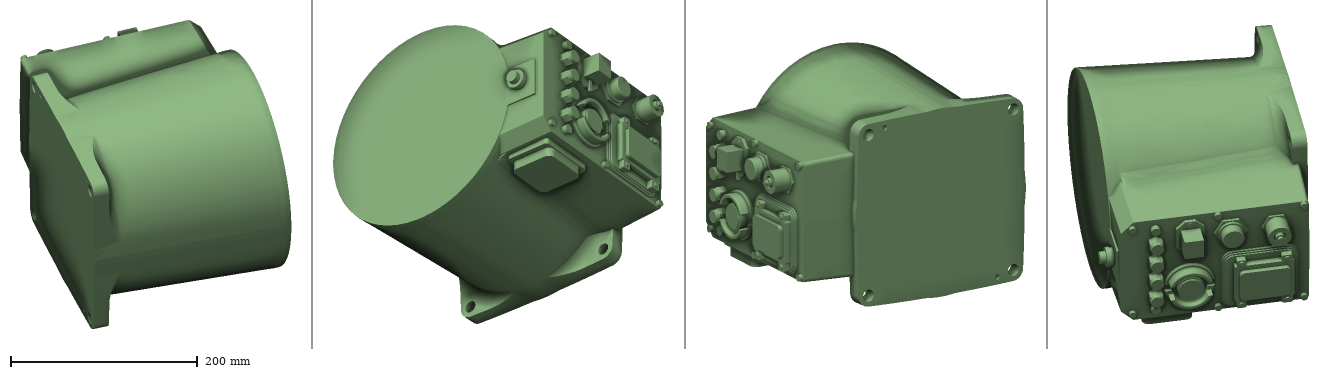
import cadquery as cq
import math

HOUSING_LENGTH = 218.5
HOUSING_RADIUS = 119.53
RIM_START = 212.0
TAPER_END = 204.0
TAPER_END_RADIUS = 118.8
FOOT_RADIUS = 105.8
SEAM_STRIP = 8.0

PLATE_THICKNESS = 17.0
PLATE_CORNER_HALF = 101.9
PLATE_MIDDLE_HALF = 104.6
PLATE_DRAFT_ANGLE = 1.5
PLATE_CORNER_RADIUS = 13.0
MOUNT_HOLE_OFFSET = 90.3
MOUNT_HOLE_DIAMETER = 13.5
DOWEL_HOLE_X = 70.0
DOWEL_HOLE_Z = 95.0
DOWEL_HOLE_DIAMETER = 6.0
DOWEL_HOLE_DEPTH = 12.0
FLARE_TOP = 28.5
FLARE_RADIUS = 123.0
FLARE_SAG = 2.5

BOX_FACE_X = -164.3
BOX_INNER_X = -60.0
BOX_ROOT_X = -103.0
BOX_FACE_BOTTOM = 11.0
BOX_FACE_TOP = 216.2
BOX_FACE_HALF_Z = 67.2
BOX_DRAFT = 2.4
BOX_CHAMFER = 13.7
BOX_PEAK = 1.0
BOX_EDGE_RADIUS = 4.0
ROOT_BLEND_RADIUS = 25.0

OUTLET_BLOCK_X = (-153.0, -100.0)
OUTLET_BLOCK_Y = (134.9, 189.8)
OUTLET_BLOCK_BOTTOM = -85.3
OUTLET_BLOCK_RADIUS = 7.5
OUTLET_FLANGE_X = (-154.5, -100.0)
OUTLET_FLANGE_Y = (127.6, 196.9)
OUTLET_FLANGE_BOTTOM = -74.5
OUTLET_FLANGE_RADIUS = 4.0

REAR_PLUG_X = -134.8
REAR_PAD_WIDTH = 40.0
REAR_PAD_LENGTH = 45.0
REAR_PAD_TOP = 218.9
REAR_COLLAR_DIAMETER = 19.5
REAR_COLLAR_TOP = 223.0
REAR_FLANGE_DIAMETER = 21.8
REAR_FLANGE_TOP = 227.3
REAR_TIP_DIAMETER = 13.5
REAR_TIP_TOP = 234.0

SCREW_DIAMETER = 7.6
SCREW_HEIGHT = 4.3
SCREW_INNER_COLUMNS = (16.3, 110.3)
SCREW_INNER_Z = (63.4, -62.4)
SCREW_OUTER_Y = 203.8
SCREW_OUTER_Z = (58.6, -57.6)

LAMP_COLUMN_Y = 178.8
LAMP_COLUMN_MIDDLE_Z = 0.6
LAMP_COUNT = 4
LAMP_PITCH = 24.1
LAMP_FLATS = 14.2
LAMP_NUT_TOP = 10.0
LAMP_NUT_CHAMFER = 0.8
LAMP_TOP = 14.3
PLUG_SPACING = 108.2
PLUG_DIAMETER = 10.3
PLUG_HEIGHT = 6.2

SWITCH_Y = 140.9
SWITCH_Z = 40.3
SWITCH_PLATE_WIDTH = 30.6
SWITCH_PLATE_HEIGHT = 42.6
SWITCH_PLATE_CORNER = (9.6, 8.8)
SWITCH_PLATE_TOP = 4.0
SWITCH_BOX_WIDTH = 21.0
SWITCH_BOX_Z = (28.5, 51.3)
SWITCH_BOX_TOP = 25.0
SWITCH_SCREW_DIAMETER = 6.2
SWITCH_SCREW_OFFSET = 16.4
SWITCH_SCREW_TOP = 4.8
LEVER_WIDTH = 3.5
LEVER_TIP_Z = 14.8
LEVER_HEIGHTS = (3.2, 6.3)

ROUND_SOCKET_Y = 96.4
SOCKET_ROW_Z = 39.9
ROUND_SOCKET_FLATS = 31.2
ROUND_SOCKET_NUT_TOP = 3.0
ROUND_SOCKET_COLLAR_DIAMETER = 28.0
ROUND_SOCKET_COLLAR_TOP = 6.0
ROUND_SOCKET_DIAMETER = 24.4
ROUND_SOCKET_CHAMFER = 1.0
ROUND_SOCKET_TOP = 16.6

BUTTON_Y = 46.6
BUTTON_FLATS = 27.2
BUTTON_NUT_TOP = 2.6
BUTTON_DIAMETER = 25.3
BUTTON_TOP = 21.7
BUTTON_RECESS_DIAMETER = 13.7
BUTTON_RECESS_DEPTH = 4.0
BUTTON_STEM_DIAMETER = 10.0
BUTTON_STEM_TOP = 24.5
BUTTON_TIP_DIAMETER = 6.0
BUTTON_TIP_TOP = 27.89

RING_Y = 141.7
RING_Z = -25.8
RING_OUTER_RADIUS = 24.9
RING_INNER_RADIUS = 20.0
RING_FOOT_RADIUS = 27.6
RING_FOOT_TOP = 4.0
RING_TOP = 14.8
RING_EDGE_RADIUS = 1.5
RING_FOOT_GAP = 9.0
RING_GAP = 18.0
DIAL_RADIUS = 14.6
DIAL_TOP = 10.0
DIAL_FACE_RADIUS = 13.2
DIAL_FACE_TOP = 12.0

WINDOW_Y = (23.4, 106.5)
WINDOW_Z = (-62.5, 11.3)
WINDOW_CORNER = 12.0
WINDOW_LEDGE_TOP = 2.4
WINDOW_INSET = 1.7
WINDOW_STEP_TOP = 4.0
WINDOW_FRAME_TOP = 5.5
LID_Y = (29.0, 94.0)
LID_BODY_Z = (-49.7, -1.5)
LID_EAR_Z = (-59.0, 6.2)
LID_EAR_SPANS = ((30.6, 42.6), (81.3, 91.6))
LID_CORNER = 2.0
LID_TOP = 12.5
LID_SCREW_Y = (36.6, 86.6)
LID_SCREW_Z = (-54.0, 2.2)
LID_SCREW_DIAMETER = 5.4
LID_SCREW_TOP = 14.4
LID_PANE_Y = (33.7, 89.0)
LID_PANE_Z = (-45.0, -7.6)
LID_PANE_CORNER = 5.0
LID_PANE_TOP = 17.5

OVERLAP = 1.0


def panel_plane(y, z, height=0.0):
    """Plane parallel to the panel face; local x is -Y, local y is +Z, normal points to -X."""
    return cq.Workplane(cq.Plane((BOX_FACE_X - height, y, z), (0, -1, 0), (-1, 0, 0)))


def panel_cylinder(y, z, diameter, top, base=0.0):
    """Cylinder standing on the panel between two heights above its face."""
    start = base - OVERLAP
    return panel_plane(y, z, start).circle(diameter / 2).extrude(top - start)


def panel_block(y_range, z_range, top, base=0.0, corner=0.0):
    """Rectangular block standing on the panel, with optional rounded corners."""
    width = y_range[1] - y_range[0]
    height = z_range[1] - z_range[0]
    start = base - OVERLAP
    middle = panel_plane(sum(y_range) / 2, sum(z_range) / 2, start)
    block = middle.rect(width, height).extrude(top - start)
    if corner:
        block = block.edges("|X").fillet(corner)
    return block


def hexagon(y, z, flats, top, points_up=False):
    """Hexagonal nut standing on the panel, its points along Y unless turned up."""
    turn = 90 if points_up else 0
    corners = flats / math.cos(math.pi / 6)
    nut = panel_plane(y, z, -OVERLAP).polygon(6, corners).extrude(top + OVERLAP)
    return nut.rotate((0, y, z), (1, y, z), turn)


def join(parts):
    joined = parts[0]
    for part in parts[1:]:
        joined = joined.union(part)
    return joined


def housing_outline(half):
    """Circle with a narrow flat on each of its four sides."""
    return cq.Sketch().circle(math.hypot(half, SEAM_STRIP / 2)).rect(2 * half, 2 * half, mode="i")


def housing_section(start, start_radius, end, end_radius):
    """Tapered round length; narrow flats on four sides carry the mould seams."""
    length = end - start
    sections = []
    for radius, offset in ((start_radius, 0), (end_radius, -length)):
        sections.append(housing_outline(radius).moved(cq.Location(cq.Vector(0, 0, offset))))
    return cq.Workplane("XZ", origin=(0, start, 0)).placeSketch(*sections).loft(ruled=True)


def taper_radius(y):
    """Housing radius at a height on its tapered length."""
    return FOOT_RADIUS + (TAPER_END_RADIUS - FOOT_RADIUS) * y / TAPER_END


def housing():
    body = housing_section(0, FOOT_RADIUS, TAPER_END, TAPER_END_RADIUS)
    body = body.union(housing_section(TAPER_END, TAPER_END_RADIUS, RIM_START, HOUSING_RADIUS))
    return body.union(housing_section(RIM_START, HOUSING_RADIUS, HOUSING_LENGTH, HOUSING_RADIUS))


def box_growth(x):
    """How far the drafted walls have spread from their place at the panel face."""
    return BOX_DRAFT * (x - BOX_FACE_X) / (BOX_ROOT_X - BOX_FACE_X)


def box_outline(x):
    """Section of the box: chamfered at the +Y corners and slightly peaked on the -Y side."""
    growth = box_growth(x)
    bottom = BOX_FACE_BOTTOM - growth
    top = min(BOX_FACE_TOP + growth, HOUSING_LENGTH)
    half = BOX_FACE_HALF_Z + growth
    plane = cq.Plane((x, 0, 0), (0, 1, 0), (1, 0, 0))
    return [plane.toWorldCoords(p) for p in (
        (bottom, -half), (top - BOX_CHAMFER, -half), (top, -half + BOX_CHAMFER),
        (top, half - BOX_CHAMFER), (top - BOX_CHAMFER, half), (bottom, half), (bottom - BOX_PEAK, 0),
    )]


def control_box():
    """Drafted box reaching into the housing, rounded along its two long -Y edges."""
    face = cq.Wire.makePolygon(box_outline(BOX_FACE_X), close=True)
    root = cq.Wire.makePolygon(box_outline(BOX_INNER_X), close=True)
    box = cq.Workplane(cq.Solid.makeLoft([face, root], True))
    for side in (-1, 1):
        corner_edge = cq.selectors.BoxSelector(
            (BOX_FACE_X + OVERLAP, 0, side * BOX_FACE_HALF_Z / 2),
            (BOX_INNER_X - OVERLAP, PLATE_THICKNESS, side * HOUSING_RADIUS),
        )
        box = box.edges(corner_edge).fillet(BOX_EDGE_RADIUS)
    return box


def root_blend(side):
    """Concave blend along the corner between the box wall on one Z side and the housing."""
    sections = []
    for y in (BOX_FACE_BOTTOM, BOX_FACE_TOP - BOX_CHAMFER):
        radius = taper_radius(y)
        reach = radius + ROOT_BLEND_RADIUS
        nominal_z = BOX_FACE_HALF_Z + BOX_DRAFT + ROOT_BLEND_RADIUS
        wall = BOX_FACE_HALF_Z + box_growth(-math.sqrt(reach ** 2 - nominal_z ** 2))
        centre_z = wall + ROOT_BLEND_RADIUS
        centre_x = -math.sqrt(reach ** 2 - centre_z ** 2)
        away = math.atan2(-centre_z, -centre_x)
        halfway = (away - math.pi / 2) / 2
        on_wall = (centre_x, wall)
        on_housing = (centre_x * radius / reach, centre_z * radius / reach)
        arc_middle = (
            centre_x + ROOT_BLEND_RADIUS * math.cos(halfway),
            centre_z + ROOT_BLEND_RADIUS * math.sin(halfway),
        )
        buried = (on_housing[0] + OVERLAP, wall - OVERLAP)
        points = [cq.Vector(x, y, side * z) for x, z in (on_wall, arc_middle, on_housing, buried)]
        lower_left = cq.Vector(centre_x, y, side * (wall - OVERLAP))
        sections.append(cq.Wire.assembleEdges([
            cq.Edge.makeThreePointArc(*points[:3]),
            cq.Edge.makeLine(points[2], points[3]),
            cq.Edge.makeLine(points[3], lower_left),
            cq.Edge.makeLine(lower_left, points[0]),
        ]))
    return cq.Workplane(cq.Solid.makeLoft(sections, True))


def plate_outline(growth):
    """Square with slightly bowed sides and rounded corners."""
    corner = PLATE_CORNER_HALF + growth
    middle = PLATE_MIDDLE_HALF + growth
    outline = (
        cq.Sketch()
        .arc((-corner, -corner), (0, -middle), (corner, -corner))
        .arc((corner, -corner), (middle, 0), (corner, corner))
        .arc((corner, corner), (0, middle), (-corner, corner))
        .arc((-corner, corner), (-middle, 0), (-corner, -corner))
        .assemble()
    )
    return outline.vertices().fillet(PLATE_CORNER_RADIUS + growth)


def plate_blank(thickness):
    """Plate body, widening from the mounting face to the back."""
    growth = thickness * math.tan(math.radians(PLATE_DRAFT_ANGLE))
    back = plate_outline(growth).moved(cq.Location(cq.Vector(0, 0, -thickness)))
    return cq.Workplane("XZ").placeSketch(plate_outline(0), back).loft(ruled=True)


def mounting_plate():
    """Plate with a concave flare rising from its back to the housing."""
    reach = 2 * PLATE_MIDDLE_HALF
    neck = taper_radius(FLARE_TOP)
    middle = ((neck + FLARE_RADIUS) / 2 - FLARE_SAG, (FLARE_TOP + PLATE_THICKNESS) / 2 - FLARE_SAG)
    flare = (
        cq.Workplane("XY").moveTo(0, 0).lineTo(reach, 0).lineTo(reach, PLATE_THICKNESS)
        .lineTo(FLARE_RADIUS, PLATE_THICKNESS).threePointArc(middle, (neck, FLARE_TOP))
        .lineTo(0, FLARE_TOP).close().revolve(360, (0, 0, 0), (0, 1, 0))
    )
    return flare.intersect(plate_blank(FLARE_TOP))


def mounting_holes():
    corner_span = 2 * MOUNT_HOLE_OFFSET
    holes = (
        cq.Workplane("XZ").rect(corner_span, corner_span, forConstruction=True).vertices()
        .circle(MOUNT_HOLE_DIAMETER / 2).extrude(-FLARE_TOP)
    )
    dowels = (
        cq.Workplane("XZ").pushPoints([(-DOWEL_HOLE_X, DOWEL_HOLE_Z), (DOWEL_HOLE_X, -DOWEL_HOLE_Z)])
        .circle(DOWEL_HOLE_DIAMETER / 2).extrude(-DOWEL_HOLE_DEPTH)
    )
    return holes.union(dowels)


def outlet_block():
    """Rounded block on a flange below the box."""
    parts = []
    for x_range, y_range, bottom, radius in (
        (OUTLET_FLANGE_X, OUTLET_FLANGE_Y, OUTLET_FLANGE_BOTTOM, OUTLET_FLANGE_RADIUS),
        (OUTLET_BLOCK_X, OUTLET_BLOCK_Y, OUTLET_BLOCK_BOTTOM, OUTLET_BLOCK_RADIUS),
    ):
        start = -BOX_FACE_HALF_Z + OVERLAP
        block = (
            cq.Workplane("XY", origin=(sum(x_range) / 2, sum(y_range) / 2, start))
            .rect(x_range[1] - x_range[0], y_range[1] - y_range[0])
            .extrude(bottom - start)
        )
        parts.append(block.edges("|Z").fillet(radius))
    return join(parts)


def rear_plug():
    """Stepped round plug on a pad on the +Y wall of the box."""
    start = BOX_FACE_TOP - OVERLAP
    base = cq.Workplane("XZ", origin=(REAR_PLUG_X, start, 0))
    pad = base.rect(REAR_PAD_WIDTH, REAR_PAD_LENGTH).extrude(start - REAR_PAD_TOP)
    steps = [pad]
    for diameter, top in (
        (REAR_COLLAR_DIAMETER, REAR_COLLAR_TOP),
        (REAR_TIP_DIAMETER, REAR_TIP_TOP),
    ):
        steps.append(base.circle(diameter / 2).extrude(start - top))
    flange = (
        cq.Workplane("XZ", origin=(REAR_PLUG_X, REAR_COLLAR_TOP, 0))
        .circle(REAR_FLANGE_DIAMETER / 2).extrude(REAR_COLLAR_TOP - REAR_FLANGE_TOP)
    )
    steps.append(flange)
    return join(steps)


def panel_screws():
    places = [(y, z) for y in SCREW_INNER_COLUMNS for z in SCREW_INNER_Z]
    places += [(SCREW_OUTER_Y, z) for z in SCREW_OUTER_Z]
    return join([panel_cylinder(y, z, SCREW_DIAMETER, SCREW_HEIGHT) for y, z in places])


def lamp(z):
    """Hexagonal nut with a round cap."""
    nut = hexagon(LAMP_COLUMN_Y, z, LAMP_FLATS, LAMP_NUT_TOP, points_up=True)
    nut = nut.faces("<X").chamfer(LAMP_NUT_CHAMFER)
    return nut.union(panel_cylinder(LAMP_COLUMN_Y, z, LAMP_FLATS, LAMP_TOP, LAMP_NUT_TOP))


def lamp_column():
    first = LAMP_COLUMN_MIDDLE_Z - LAMP_PITCH * (LAMP_COUNT - 1) / 2
    parts = [lamp(first + LAMP_PITCH * i) for i in range(LAMP_COUNT)]
    for side in (-1, 1):
        z = LAMP_COLUMN_MIDDLE_Z + side * PLUG_SPACING / 2
        parts.append(panel_cylinder(LAMP_COLUMN_Y, z, PLUG_DIAMETER, PLUG_HEIGHT))
    return join(parts)


def switch():
    """Square switch box with a lever on a plate with cut corners."""
    half_width = SWITCH_PLATE_WIDTH / 2
    half_height = SWITCH_PLATE_HEIGHT / 2
    cut_y, cut_z = SWITCH_PLATE_CORNER
    quarter = [(half_width, half_height - cut_z), (half_width - cut_y, half_height)]
    left = [(-x, y) for x, y in reversed(quarter)]
    outline = quarter + left
    outline += [(-x, -y) for x, y in outline]
    plate = (
        panel_plane(SWITCH_Y, SWITCH_Z, -OVERLAP).polyline(outline).close()
        .extrude(SWITCH_PLATE_TOP + OVERLAP)
    )
    box_y = (SWITCH_Y - SWITCH_BOX_WIDTH / 2, SWITCH_Y + SWITCH_BOX_WIDTH / 2)
    lever_y = (SWITCH_Y - LEVER_WIDTH / 2, SWITCH_Y + LEVER_WIDTH / 2)
    lever_z = (LEVER_TIP_Z, SWITCH_BOX_Z[0] + OVERLAP)
    parts = [
        plate,
        panel_block(box_y, SWITCH_BOX_Z, SWITCH_BOX_TOP),
        panel_block(lever_y, lever_z, LEVER_HEIGHTS[1], LEVER_HEIGHTS[0] + OVERLAP),
    ]
    for side in (-1, 1):
        z = SWITCH_Z + side * SWITCH_SCREW_OFFSET
        parts.append(panel_cylinder(SWITCH_Y, z, SWITCH_SCREW_DIAMETER, SWITCH_SCREW_TOP))
    return join(parts)


def round_socket():
    """Chamfered barrel on a collar and a hexagonal nut."""
    y, z = ROUND_SOCKET_Y, SOCKET_ROW_Z
    barrel = panel_cylinder(y, z, ROUND_SOCKET_DIAMETER, ROUND_SOCKET_TOP)
    return join([
        hexagon(y, z, ROUND_SOCKET_FLATS, ROUND_SOCKET_NUT_TOP),
        panel_cylinder(y, z, ROUND_SOCKET_COLLAR_DIAMETER, ROUND_SOCKET_COLLAR_TOP),
        barrel.faces("<X").chamfer(ROUND_SOCKET_CHAMFER),
    ])


def push_button():
    """Cylinder on a hexagonal nut, with a stepped stem in a recess in its end."""
    y, z = BUTTON_Y, SOCKET_ROW_Z
    recess_floor = BUTTON_TOP - BUTTON_RECESS_DEPTH
    barrel = hexagon(y, z, BUTTON_FLATS, BUTTON_NUT_TOP)
    barrel = barrel.union(panel_cylinder(y, z, BUTTON_DIAMETER, BUTTON_TOP))
    recess = panel_plane(y, z, recess_floor).circle(BUTTON_RECESS_DIAMETER / 2)
    stem = panel_cylinder(y, z, BUTTON_STEM_DIAMETER, BUTTON_STEM_TOP)
    tip = panel_cylinder(y, z, BUTTON_TIP_DIAMETER, BUTTON_TIP_TOP)
    return barrel.cut(recess.extrude(BUTTON_RECESS_DEPTH)).union(stem).union(tip)


def ring_dial():
    """Round dial inside a ring that is split at both sides."""
    def split_ring(radius, top, gap):
        ring = (
            panel_plane(RING_Y, RING_Z, -OVERLAP).circle(radius)
            .circle(RING_INNER_RADIUS).extrude(top + OVERLAP)
        )
        ring = ring.faces("<X").edges().fillet(RING_EDGE_RADIUS)
        slot = panel_plane(RING_Y, RING_Z, -OVERLAP).rect(3 * radius, gap)
        return ring.cut(slot.extrude(top + 2 * OVERLAP))

    return join([
        split_ring(RING_FOOT_RADIUS, RING_FOOT_TOP, RING_FOOT_GAP),
        split_ring(RING_OUTER_RADIUS, RING_TOP, RING_GAP),
        panel_cylinder(RING_Y, RING_Z, 2 * DIAL_RADIUS, DIAL_TOP),
        panel_cylinder(RING_Y, RING_Z, 2 * DIAL_FACE_RADIUS, DIAL_FACE_TOP),
    ])


def shrink(limits, inset):
    return (limits[0] + inset, limits[1] - inset)


def window():
    """Stepped frame carrying a screwed lid with a raised pane."""
    parts = []
    for step, top in enumerate((WINDOW_LEDGE_TOP, WINDOW_STEP_TOP, WINDOW_FRAME_TOP)):
        inset = step * WINDOW_INSET
        y_range = shrink(WINDOW_Y, inset)
        z_range = shrink(WINDOW_Z, inset)
        parts.append(panel_block(y_range, z_range, top, corner=WINDOW_CORNER - inset))
    parts.append(panel_block(LID_Y, LID_BODY_Z, LID_TOP, corner=LID_CORNER))
    for span in LID_EAR_SPANS:
        parts.append(panel_block(span, LID_EAR_Z, LID_TOP, corner=LID_CORNER))
    for y in LID_SCREW_Y:
        for z in LID_SCREW_Z:
            parts.append(panel_cylinder(y, z, LID_SCREW_DIAMETER, LID_SCREW_TOP))
    parts.append(panel_block(LID_PANE_Y, LID_PANE_Z, LID_PANE_TOP, corner=LID_PANE_CORNER))
    return join(parts)


casting = join([housing(), control_box(), root_blend(-1), root_blend(1), mounting_plate()])
fittings = [
    outlet_block(), rear_plug(), panel_screws(), lamp_column(), switch(),
    round_socket(), push_button(), ring_dial(), window(),
]
result = join([casting.cut(mounting_holes())] + fittings)